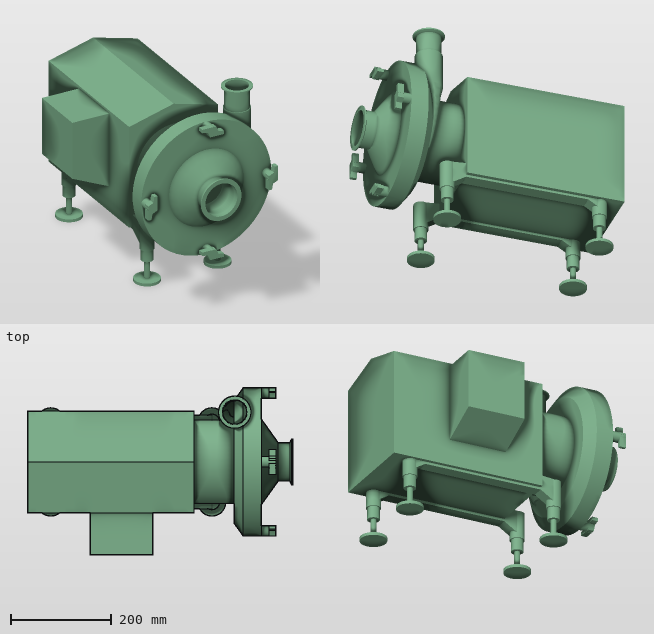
import cadquery as cq
import math

OVERALL_LENGTH = 525.0
OVERALL_HEIGHT = 410.0
SHAFT_HEIGHT = 230.0

HOUSING_LENGTH = 329.5
HOUSING_WIDTH = 201.5
HOUSING_BOTTOM = 106.0
EAVE_HEIGHT = 330.0
RIDGE_HEIGHT = 357.0

BOX_START = 123.5
BOX_LENGTH = 124.5
BOX_REACH = 184.5
BOX_TOP = 323.5
BOX_FRONT_BOTTOM = 199.0
BOX_WALL_BOTTOM = 161.5

LANTERN_RADIUS = 166.0 / 2
CASING_RADIUS = 294.0 / 2
CASING_BACK_RADIUS = 122.0
CASING_BACK = 409.0
CASING_RIM_START = 427.0
CASING_FRONT = 463.0
CONE_BASE_RADIUS = 84.5
INLET_START = 496.0
INLET_RADIUS = 76.0 / 2
INLET_BORE_RADIUS = 72.5 / 2
INLET_FLANGE_RADIUS = 91.0 / 2
FLANGE_EDGE = 2.5
FLANGE_TAPER = 3.0

OUTLET_X = 410.0
OUTLET_Y = 98.5
OUTLET_BOTTOM = 286.5
OUTLET_STEP = 362.0
OUTLET_RADIUS = 55.5 / 2
OUTLET_NECK_RADIUS = 51.0 / 2
OUTLET_BORE_RADIUS = 48.0 / 2
OUTLET_FLANGE_RADIUS = 64.0 / 2
OUTLET_WALL = OUTLET_RADIUS - OUTLET_BORE_RADIUS

VOLUTE_SECTIONS = [(0, 18.0, 120.0), (20, 13.5, 115.0), (40, 8.5, 111.5)]

KNOB_COUNT = 4
STEM_RADIUS = 21.0 / 2
STEM_CIRCLE_RADIUS = CASING_RADIUS - STEM_RADIUS
WING_START = 478.5
KNOB_END = 491.5
WING_SPAN = 24.5
WING_TIP_LOW = 3.0
WING_BEND_LOW = 1.0
WING_GAP = 3.0
WING_ROOT = 7.0
WING_BEND = 12.0

REAR_LEG_X = 45.5
FRONT_LEG_X = 365.0
LEG_Y = 80.0
FOOT_RADIUS = 55.0 / 2
FOOT_TOP = 6.5
ROD_RADIUS = 12.0 / 2
ROD_TOP = 46.0
SLEEVE_RADIUS = 25.0 / 2
SLEEVE_TOP = 71.5
LEG_RADIUS = 30.0 / 2
LEG_TOP = 129.5

RAIL_WIDTH = 26.0
RAIL_BOTTOM = 101.0
RAIL_TOP = 133.0
RAIL_REAR_GUSSET_START = 73.5
RAIL_REAR_GUSSET_BOTTOM = 84.0
RAIL_FRONT_GUSSET_BOTTOM = 78.0


def rod(x, y, bottom, top, radius):
    """Vertical cylinder between two heights."""
    return cq.Workplane("XY", origin=(x, y, bottom)).circle(radius).extrude(top - bottom)


def make_housing():
    half_width = HOUSING_WIDTH / 2
    return (
        cq.Workplane("YZ")
        .moveTo(-half_width, HOUSING_BOTTOM)
        .lineTo(half_width, HOUSING_BOTTOM)
        .lineTo(half_width, EAVE_HEIGHT)
        .lineTo(0, RIDGE_HEIGHT)
        .lineTo(-half_width, EAVE_HEIGHT)
        .close()
        .extrude(HOUSING_LENGTH)
    )


def make_terminal_box():
    return (
        cq.Workplane("YZ", origin=(BOX_START, 0, 0))
        .moveTo(0, BOX_TOP)
        .lineTo(-BOX_REACH, BOX_TOP)
        .lineTo(-BOX_REACH, BOX_FRONT_BOTTOM)
        .lineTo(-HOUSING_WIDTH / 2, BOX_WALL_BOTTOM)
        .lineTo(0, BOX_WALL_BOTTOM)
        .close()
        .extrude(BOX_LENGTH)
    )


def make_casing():
    """Lantern, casing, front cone and flanged inlet with its blind bore."""
    flange_edge_start = OVERALL_LENGTH - FLANGE_EDGE
    flange_start = flange_edge_start - FLANGE_TAPER
    return (
        cq.Workplane("XY", origin=(0, 0, SHAFT_HEIGHT))
        .moveTo(HOUSING_LENGTH, 0)
        .lineTo(HOUSING_LENGTH, LANTERN_RADIUS)
        .lineTo(CASING_BACK, LANTERN_RADIUS)
        .lineTo(CASING_BACK, CASING_BACK_RADIUS)
        .lineTo(CASING_RIM_START, CASING_RADIUS)
        .lineTo(CASING_FRONT, CASING_RADIUS)
        .lineTo(CASING_FRONT, CONE_BASE_RADIUS)
        .lineTo(INLET_START, INLET_RADIUS)
        .lineTo(flange_start, INLET_RADIUS)
        .lineTo(flange_edge_start, INLET_FLANGE_RADIUS)
        .lineTo(OVERALL_LENGTH, INLET_FLANGE_RADIUS)
        .lineTo(OVERALL_LENGTH, INLET_BORE_RADIUS)
        .lineTo(CASING_FRONT, INLET_BORE_RADIUS)
        .lineTo(CASING_FRONT, 0)
        .close()
        .revolve(360, (0, 0, 0), (1, 0, 0))
    )


def make_volute(wall):
    """Tapering bend that curls from the outlet around the shaft, shrunk by a wall thickness."""
    wires = [
        cq.Wire.makeCircle(
            OUTLET_RADIUS - wall, cq.Vector(OUTLET_X, OUTLET_Y, OUTLET_BOTTOM), cq.Vector(0, 0, -1)
        )
    ]
    for angle, radius, outer_edge in VOLUTE_SECTIONS:
        cosine = math.cos(math.radians(angle))
        sine = math.sin(math.radians(angle))
        reach = outer_edge - radius
        centre = cq.Vector(OUTLET_X, reach * cosine, SHAFT_HEIGHT - reach * sine)
        wires.append(cq.Wire.makeCircle(radius - wall, centre, cq.Vector(0, -sine, -cosine)))
    return cq.Workplane(cq.Solid.makeLoft(wires))


def make_outlet():
    """Flanged outlet pipe and volute, hollow throughout."""
    flange_edge_start = OVERALL_HEIGHT - FLANGE_EDGE
    flange_start = flange_edge_start - FLANGE_TAPER
    pipe = (
        cq.Workplane("XZ", origin=(OUTLET_X, OUTLET_Y, 0))
        .moveTo(0, OUTLET_BOTTOM)
        .lineTo(OUTLET_RADIUS, OUTLET_BOTTOM)
        .lineTo(OUTLET_RADIUS, OUTLET_STEP)
        .lineTo(OUTLET_NECK_RADIUS, OUTLET_STEP)
        .lineTo(OUTLET_NECK_RADIUS, flange_start)
        .lineTo(OUTLET_FLANGE_RADIUS, flange_edge_start)
        .lineTo(OUTLET_FLANGE_RADIUS, OVERALL_HEIGHT)
        .lineTo(0, OVERALL_HEIGHT)
        .close()
        .revolve(360, (0, 0, 0), (0, 1, 0))
    )
    bore = rod(OUTLET_X, OUTLET_Y, OUTLET_BOTTOM, OVERALL_HEIGHT, OUTLET_BORE_RADIUS)
    return pipe.union(make_volute(0)).cut(bore).cut(make_volute(OUTLET_WALL))


def make_knob():
    """Top knob: a round stem with two wings that are half a turn apart."""
    stem_height = SHAFT_HEIGHT + STEM_CIRCLE_RADIUS
    stem = (
        cq.Workplane("YZ", origin=(CASING_FRONT, 0, stem_height))
        .circle(STEM_RADIUS)
        .extrude(KNOB_END - CASING_FRONT)
    )
    wing = (
        cq.Workplane("YZ", origin=(WING_START, 0, stem_height))
        .moveTo(-WING_GAP, STEM_RADIUS)
        .lineTo(-WING_SPAN, STEM_RADIUS)
        .lineTo(-WING_SPAN, WING_TIP_LOW)
        .lineTo(-WING_BEND, WING_BEND_LOW)
        .lineTo(-WING_ROOT, -STEM_RADIUS)
        .lineTo(-WING_GAP, -STEM_RADIUS)
        .close()
        .extrude(KNOB_END - WING_START)
    )
    opposite_wing = wing.rotate((0, 0, stem_height), (1, 0, stem_height), 180)
    return stem.union(wing).union(opposite_wing)


def make_leg(x, y):
    foot = rod(x, y, 0, FOOT_TOP, FOOT_RADIUS)
    threaded_rod = rod(x, y, FOOT_TOP, ROD_TOP, ROD_RADIUS)
    sleeve = rod(x, y, ROD_TOP, SLEEVE_TOP, SLEEVE_RADIUS)
    upper_leg = rod(x, y, SLEEVE_TOP, LEG_TOP, LEG_RADIUS)
    return foot.union(threaded_rod).union(sleeve).union(upper_leg)


def make_rail(y):
    """Rail from the rear leg axis to the front leg axis, with a gusset at each end."""
    return (
        cq.Workplane("XZ", origin=(0, y + RAIL_WIDTH / 2, 0))
        .moveTo(REAR_LEG_X, RAIL_REAR_GUSSET_BOTTOM)
        .lineTo(RAIL_REAR_GUSSET_START, RAIL_BOTTOM)
        .lineTo(HOUSING_LENGTH, RAIL_BOTTOM)
        .lineTo(FRONT_LEG_X, RAIL_FRONT_GUSSET_BOTTOM)
        .lineTo(FRONT_LEG_X, LEG_TOP)
        .lineTo(HOUSING_LENGTH, RAIL_TOP)
        .lineTo(REAR_LEG_X, RAIL_TOP)
        .close()
        .extrude(RAIL_WIDTH)
    )


result = make_housing().union(make_terminal_box()).union(make_casing()).union(make_outlet())

knob = make_knob()
for index in range(KNOB_COUNT):
    turn = index * 360 / KNOB_COUNT
    result = result.union(knob.rotate((0, 0, SHAFT_HEIGHT), (1, 0, SHAFT_HEIGHT), turn))

for side in (-LEG_Y, LEG_Y):
    result = result.union(make_rail(side))
    for leg_x in (REAR_LEG_X, FRONT_LEG_X):
        result = result.union(make_leg(leg_x, side))